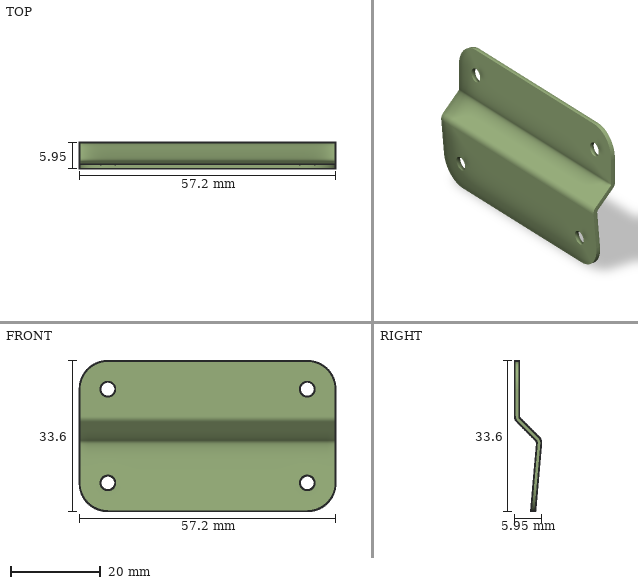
import cadquery as cq
import math

width = 57.15
depth = 5.95
height = 33.6
thickness = 1.05

slope_angle = math.radians(45.0)
tilt_angle = math.radians(5.0)
upper_inner_radius = 0.5
lower_inner_radius = 0.85
upper_bend_z = -13.1

corner_radius = 6.35
hole_inset = 6.35
hole_diameter = 3.25

tilt_bend = slope_angle + tilt_angle
lower_bend_setback = lower_inner_radius * math.tan(tilt_bend / 2)
lower_bend_y = (
    depth - (lower_inner_radius + thickness)
    + lower_inner_radius * math.cos(tilt_angle)
    + lower_bend_setback * math.sin(tilt_angle)
)
lower_bend_z = upper_bend_z - lower_bend_y / math.tan(slope_angle)
end_z = -height + thickness * math.sin(tilt_angle)
end_y = lower_bend_y - (lower_bend_z - end_z) * math.tan(tilt_angle)

top_point = (0.0, 0.0)
upper_bend = (0.0, upper_bend_z)
lower_bend = (lower_bend_y, lower_bend_z)
end_point = (end_y, end_z)


def back_point(front_point, normal_angle, half_bend=0.0):
    """Point on the back face opposite a front point; the angle is measured below +Y."""
    distance = thickness / math.cos(half_bend)
    y, z = front_point
    return (y + distance * math.cos(normal_angle), z - distance * math.sin(normal_angle))


def bent_sheet():
    """Sheet of constant thickness with two rounded bends."""
    upper_half = slope_angle / 2
    lower_half = tilt_bend / 2
    back_top = back_point(top_point, 0.0)
    back_upper = back_point(upper_bend, -upper_half, upper_half)
    back_lower = back_point(lower_bend, tilt_angle - lower_half, lower_half)
    back_end = back_point(end_point, tilt_angle)
    outline = [
        top_point, upper_bend, lower_bend, end_point,
        back_end, back_lower, back_upper, back_top,
    ]
    sheet = cq.Workplane("YZ").polyline(outline).close().extrude(width / 2, both=True)

    def round_bend(body, point, radius):
        edge = cq.selectors.NearestToPointSelector((0.0, *point))
        return body.edges("|X").edges(edge).fillet(radius)

    sheet = round_bend(sheet, upper_bend, upper_inner_radius + thickness)
    sheet = round_bend(sheet, back_upper, upper_inner_radius)
    sheet = round_bend(sheet, lower_bend, lower_inner_radius)
    return round_bend(sheet, back_lower, lower_inner_radius + thickness)


def round_corners(sheet):
    """Round the two corners at the free edge of each flange."""
    sheet = sheet.faces(">Z").edges("not |X").fillet(corner_radius)
    return sheet.faces("<Z").edges("not |X").fillet(corner_radius)


def hole_pair(edge_point, inward_y, inward_z):
    """Two pins square to a flange, inset from its free edge along the inward direction."""
    y, z = edge_point
    origin = (0.0, y + hole_inset * inward_y, z + hole_inset * inward_z)
    flange = cq.Plane(origin=origin, xDir=(1, 0, 0), normal=(0, -inward_z, inward_y))
    hole_x = width / 2 - hole_inset
    pins = cq.Workplane(flange).pushPoints([(-hole_x, 0), (hole_x, 0)])
    return pins.circle(hole_diameter / 2).extrude(2 * thickness, both=True)


result = round_corners(bent_sheet())
result = result.cut(hole_pair(top_point, 0.0, -1.0))
result = result.cut(hole_pair(end_point, math.sin(tilt_angle), math.cos(tilt_angle)))